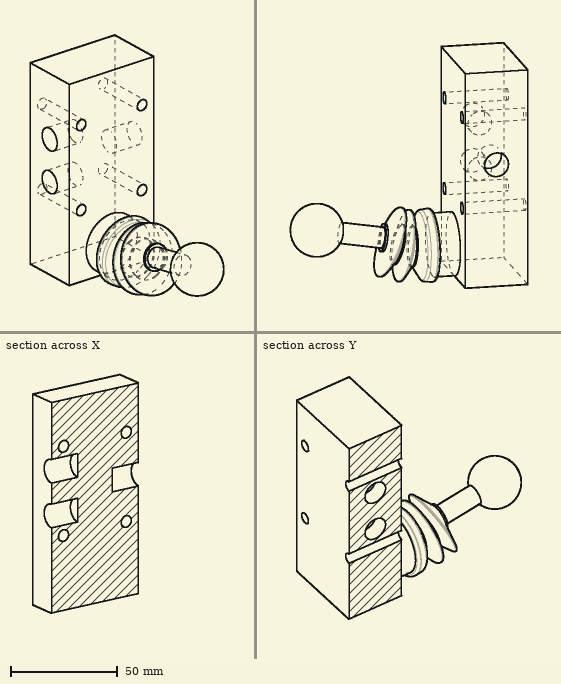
import cadquery as cq
import math

BODY_DEPTH = 30.0
BODY_WIDTH = 50.0
BODY_HEIGHT = 104.0

PATTERN_HEIGHT = 59.0
PORT_DIAMETER = 11.5
PORT_PITCH = 22.0
PORT_DEPTH = 15.0
MOUNT_DIAMETER = 5.5
MOUNT_SPACING_Y = 36.0
MOUNT_SPACING_Z = 44.0

NECK_RADIUS = BODY_DEPTH / 2
NECK_LENGTH = 9.9
LEVER_AXIS_Z = NECK_RADIUS
COLLAR_START_X = BODY_DEPTH + NECK_LENGTH
COLLAR_RADIUS = 17.3
COLLAR_ROUND = 1.3
COLLAR_RIM_LENGTH = 0.3
COLLAR_TAPER_LENGTH = 3.0
COLLAR_TAPER_RADIUS = 17.0
COLLAR_LENGTH = 6.0
COLLAR_END_RADIUS = 16.1

OVERALL_LENGTH = 108
LEVER_TILT = 10
PIVOT_X = 35.4
BALL_RADIUS = 12.5
BALL_DISTANCE = (OVERALL_LENGTH - BALL_RADIUS - PIVOT_X) / math.cos(math.radians(LEVER_TILT))
ROD_RADIUS = 5.0

RIDGE_RADIUS = 17.1
VALLEY_RADIUS = 9.7
FOLD_THICKNESS = 0.8
FOLD_ROUND = 0.3
EDGE_LENGTH_TOLERANCE = 0.1
VALLEYS = [(49.6, 15.0, 4.5), (56.6, 16.4, 16)]
RIDGES = [(53.7, 15.5, 12), (60.3, 17.7, 22)]
CUFF_RADIUS = 6.6
CUFF_DISTANCE = 28.2
CUFF_LENGTH = 1.0


def direction(tilt):
    """Unit vector along +X, raised toward +Z by the tilt angle."""
    return cq.Vector(math.cos(math.radians(tilt)), 0, math.sin(math.radians(tilt)))


def lever_point(distance):
    """Point on the lever axis at a distance from the pivot."""
    return cq.Vector(PIVOT_X, 0, LEVER_AXIS_Z) + direction(LEVER_TILT) * distance


def fold_band(radius, center_x, center_z, tilt):
    """Two parallel circles that bound the narrow rim of one fold."""
    center = cq.Vector(center_x, 0, center_z)
    axis = direction(tilt)
    half = axis * (FOLD_THICKNESS / 2)
    return [cq.Wire.makeCircle(radius, point, axis) for point in (center - half, center + half)]


def make_body():
    """Rectangular block with four mounting holes through its depth."""
    body = cq.Workplane("XY").box(BODY_DEPTH, BODY_WIDTH, BODY_HEIGHT, centered=(False, True, False))
    mounts = (
        cq.Workplane("YZ", origin=(0, 0, PATTERN_HEIGHT))
        .rarray(MOUNT_SPACING_Y, MOUNT_SPACING_Z, 2, 2)
        .circle(MOUNT_DIAMETER / 2)
        .extrude(BODY_DEPTH)
    )
    return body.cut(mounts)


def make_port(side, height):
    """Blind port drilled inward from the -Y (side = -1) or +Y (side = 1) face."""
    mouth = cq.Vector(BODY_DEPTH / 2, side * BODY_WIDTH / 2, height)
    return cq.Solid.makeCylinder(PORT_DIAMETER / 2, PORT_DEPTH, mouth, cq.Vector(0, -side, 0))


def make_neck_and_collar():
    """Stepped solid of revolution: neck, rounded collar rim, slight taper, rounded front edge."""
    return (
        cq.Workplane("XZ", origin=(BODY_DEPTH, 0, LEVER_AXIS_Z))
        .vLine(NECK_RADIUS)
        .hLine(NECK_LENGTH)
        .vLineTo(COLLAR_RADIUS - COLLAR_ROUND)
        .tangentArcPoint((COLLAR_ROUND, COLLAR_ROUND))
        .hLine(COLLAR_RIM_LENGTH)
        .line(COLLAR_TAPER_LENGTH, COLLAR_TAPER_RADIUS - COLLAR_RADIUS)
        .tangentArcPoint((NECK_LENGTH + COLLAR_LENGTH, COLLAR_END_RADIUS), relative=False)
        .vLineTo(0)
        .close()
        .revolve(360, (0, 0, 0), (1, 0, 0))
    )


def make_bellows():
    """Straight-sided loft through the tilted fold circles, with the outer fold rims rounded."""
    collar_center = cq.Vector(COLLAR_START_X + COLLAR_LENGTH, 0, LEVER_AXIS_Z)
    sections = [cq.Wire.makeCircle(COLLAR_END_RADIUS, collar_center, direction(0))]
    for valley, ridge in zip(VALLEYS, RIDGES):
        sections += fold_band(VALLEY_RADIUS, *valley)
        sections += fold_band(RIDGE_RADIUS, *ridge)
    for distance in (CUFF_DISTANCE, CUFF_DISTANCE + CUFF_LENGTH):
        sections.append(cq.Wire.makeCircle(CUFF_RADIUS, lever_point(distance), direction(LEVER_TILT)))
    bellows = cq.Solid.makeLoft(sections, True)
    rim_length = 2 * math.pi * RIDGE_RADIUS
    rim_edges = [edge for edge in bellows.Edges() if abs(edge.Length() - rim_length) < EDGE_LENGTH_TOLERANCE]
    return bellows.fillet(FOLD_ROUND, rim_edges)


def make_lever():
    """Straight rod running from the cuff into the ball knob."""
    rod = cq.Solid.makeCylinder(
        ROD_RADIUS,
        BALL_DISTANCE - CUFF_DISTANCE,
        lever_point(CUFF_DISTANCE),
        direction(LEVER_TILT),
    )
    ball = cq.Workplane("XY").sphere(BALL_RADIUS).translate(lever_point(BALL_DISTANCE))
    return ball.union(cq.Workplane(rod))


body = make_body()
for side, height in (
    (-1, PATTERN_HEIGHT - PORT_PITCH / 2),
    (-1, PATTERN_HEIGHT + PORT_PITCH / 2),
    (1, PATTERN_HEIGHT),
):
    body = body.cut(cq.Workplane(make_port(side, height)))

result = body.union(make_neck_and_collar()).union(cq.Workplane(make_bellows())).union(make_lever())